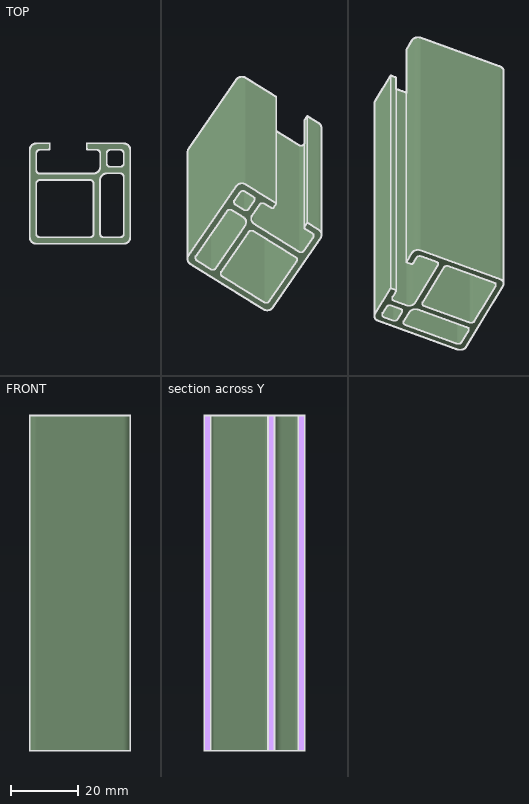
import cadquery as cq

length = 100.0
side = 30.0
wall = 2.0
outer_radius = 2.0
inner_radius = 1.0
junction_radius = 2.0
lip_tip_radius = 0.5

channel_width = 19.0
channel_depth = 7.0
lip_length = 6.0
mouth_width = 11.0

small_cell = 5.0

inner_min = -side / 2 + wall
inner_max = side / 2 - wall
channel_right = inner_min + channel_width
channel_floor = inner_max - channel_depth
square_cell_right = channel_right - wall
square_cell_top = channel_floor - wall
small_cell_start = inner_max - small_cell
tall_cell_top = small_cell_start - wall
mouth_left = -side / 2 + lip_length
mouth_right = mouth_left + mouth_width


def prism(x_min, x_max, y_min, y_max):
    """Rectangular bar running the full length of the profile."""
    return cq.Workplane("XY").box(
        x_max - x_min, y_max - y_min, length, centered=False
    ).translate((x_min, y_min, 0))


def rounded_prism(x_min, x_max, y_min, y_max, radius):
    """Full-length bar with all four long edges rounded."""
    return prism(x_min, x_max, y_min, y_max).edges("|Z").fillet(radius)


body = rounded_prism(-side / 2, side / 2, -side / 2, side / 2, outer_radius)

square_cell = rounded_prism(inner_min, square_cell_right, inner_min, square_cell_top, inner_radius)

tall_cell = (
    prism(channel_right, inner_max, inner_min, tall_cell_top)
    .faces(">Y").edges("<X").fillet(junction_radius)
    .faces(">X").edges("|Z").fillet(inner_radius)
    .faces("<Y").edges("<X").fillet(inner_radius)
)

corner_cell = rounded_prism(small_cell_start, inner_max, small_cell_start, inner_max, inner_radius)

channel = (
    prism(inner_min, channel_right, channel_floor, inner_max)
    .faces("<Y").edges(">X").fillet(junction_radius)
    .faces("<X").edges("|Z").fillet(inner_radius)
    .faces(">Y").edges(">X").fillet(inner_radius)
)

mouth = prism(mouth_left, mouth_right, inner_max - inner_radius, side / 2)

result = body
for cavity in (square_cell, tall_cell, corner_cell, channel, mouth):
    result = result.cut(cavity)

for tip_x in (mouth_left, mouth_right):
    tip_edge = cq.selectors.NearestToPointSelector((tip_x, inner_max, length / 2))
    result = result.edges(tip_edge).fillet(lip_tip_radius)